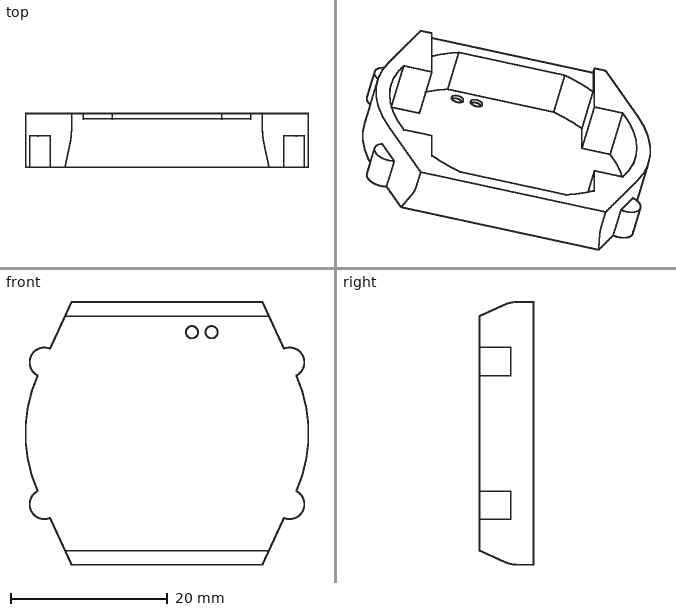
import math

import cadquery as cq

thickness = 6.89
half_height = 33.49 / 2
side_radius = 18.05
arc_half_angle = math.radians(24.75)

front_half_height = 14.94
bevel_slope = 0.455
bevel_blend_radius = 4.0

peg_radius = 1.9
peg_length = 4.0
peg_x = 15.61
peg_z = 9.04

plate_thickness = 0.45
cavity_radius = 16.25
cavity_flat_half_width = 6.97
narrow_half_width = 10.68
wide_half_height = 7.55

notch_depth = 0.7

hole_diameter = 1.53
hole_xs = (3.18, 5.68)
hole_z = 12.88


def extrude_back(sketch, start, length):
    """Extrude a closed XZ outline toward +Y, beginning at Y = start."""
    return sketch.extrude(-length).translate((0, start, 0))


def make_outline_prism():
    """Barrel outline: round sides running tangentially into straight slopes."""
    arc_x = side_radius * math.cos(arc_half_angle)
    arc_z = side_radius * math.sin(arc_half_angle)
    top_x = arc_x - (half_height - arc_z) * math.tan(arc_half_angle)
    sketch = (
        cq.Workplane("XZ")
        .moveTo(-top_x, half_height)
        .lineTo(top_x, half_height)
        .lineTo(arc_x, arc_z)
        .threePointArc((side_radius, 0), (arc_x, -arc_z))
        .lineTo(top_x, -half_height)
        .lineTo(-top_x, -half_height)
        .lineTo(-arc_x, -arc_z)
        .threePointArc((-side_radius, 0), (-arc_x, arc_z))
        .close()
    )
    return extrude_back(sketch, 0, thickness)


def make_side_profile():
    """YZ profile with bevelled front edges, blended into the flat top and bottom."""
    bevel_depth = (half_height - front_half_height) / bevel_slope
    profile = (
        cq.Workplane("YZ")
        .moveTo(0, -front_half_height)
        .lineTo(0, front_half_height)
        .lineTo(bevel_depth, half_height)
        .lineTo(thickness, half_height)
        .lineTo(thickness, -half_height)
        .lineTo(bevel_depth, -half_height)
        .close()
        .extrude(2 * side_radius, both=True)
    )
    top_corner = cq.selectors.NearestToPointSelector((0, bevel_depth, half_height))
    bottom_corner = cq.selectors.NearestToPointSelector((0, bevel_depth, -half_height))
    return profile.edges(top_corner + bottom_corner).fillet(bevel_blend_radius)


def make_pegs():
    centers = [(sx * peg_x, sz * peg_z) for sx in (-1, 1) for sz in (-1, 1)]
    sketch = cq.Workplane("XZ").pushPoints(centers).circle(peg_radius)
    return extrude_back(sketch, 0, peg_length)


def make_cavity():
    """Disc with flat top and bottom, full width only between the corner blocks."""
    depth = thickness - plate_thickness
    flat_half_height = math.sqrt(cavity_radius**2 - cavity_flat_half_width**2)
    disc = cq.Workplane("XZ").circle(cavity_radius)
    wide_band = cq.Workplane("XZ").rect(2 * cavity_radius, 2 * wide_half_height)
    tall_band = cq.Workplane("XZ").rect(2 * narrow_half_width, 2 * flat_half_height)
    bands = extrude_back(wide_band, plate_thickness, depth).union(
        extrude_back(tall_band, plate_thickness, depth)
    )
    return extrude_back(disc, plate_thickness, depth).intersect(bands)


def make_notch():
    """Slot along the back edge, from mid-height up through the top."""
    return cq.Workplane("XY").box(
        2 * narrow_half_width, notch_depth, half_height, centered=(True, False, False)
    ).translate((0, thickness - notch_depth, 0))


def make_holes():
    centers = [(x, hole_z) for x in hole_xs]
    sketch = cq.Workplane("XZ").pushPoints(centers).circle(hole_diameter / 2)
    return extrude_back(sketch, 0, plate_thickness)


body = make_outline_prism().intersect(make_side_profile()).union(make_pegs())
result = body.cut(make_cavity()).cut(make_notch()).cut(make_holes())